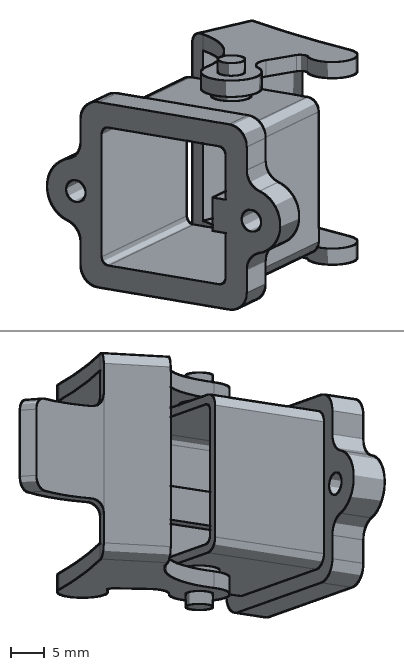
import cadquery as cq
import math

FLANGE_DEPTH = 5.45
HOUSING_DEPTH = 24.6
FLANGE_WIDTH = 28.45
FLANGE_CORNER_RADIUS = 3.0
BODY_WIDTH = 23.9
BODY_CORNER_RADIUS = 2.0
OPENING_WIDTH = 21.15
OPENING_CORNER_RADIUS = 1.15
EAR_OFFSET = 15.0
EAR_RADIUS = 4.95
EAR_BLEND_RADIUS = 3.0
SCREW_HOLE_DIAMETER = 3.3
KEY_WIDTH = 5.1
KEY_HEIGHT = 2.2

PIVOT_Y = 19.55
PIN_DIAMETER = 4.0
PIN_SPAN = 35.0
SHOULDER_DIAMETER = 6.0

LEVER_TILT = 20
LEVER_SPAN = 31.1
LEVER_THICKNESS = 2.5
LEVER_CORNER_RADIUS = 2.0
EYE_RADIUS = 4.5
WEB_OUTER_X = -20.2
WEB_BOTTOM_Y = 9.05
WEB_TOP_Y = 19.2
HOOK_X = 2.6
HOOK_Y = 17.05
HOOK_RADIUS = 3.7
NOTCH_RADIUS = 1.1
NOTCH_ANGLE = -117
NECK_RADIUS = 3.0
NECK_ANGLE = 78
TAB_WIDTH = 13.95
TAB_CORNER_RADIUS = 2.0
TAB_OUTER_RADIUS = 16.45
TAB_OUTER_ANGLE = 43
TAB_INNER_ANGLE = 45.1


def toward(start, angle, distance):
    """Point at a distance from start, at an angle in degrees."""
    a = math.radians(angle)
    return (start[0] + distance * math.cos(a), start[1] + distance * math.sin(a))


def between(start, end, distance):
    """Point on the ray from start to end, at a distance from start."""
    length = math.dist(start, end)
    return tuple(s + (e - s) * distance / length for s, e in zip(start, end))


def arc_middle(center, radius, start, end):
    """Middle of the shorter arc from start to end."""
    return between(center, ((start[0] + end[0]) / 2, (start[1] + end[1]) / 2), radius)


def prism(width, corner_radius, depth):
    """Square prism along +Y with rounded long edges, standing on the mounting face."""
    block = cq.Workplane("XZ").rect(width, width).extrude(-depth)
    return block.edges("|Y").fillet(corner_radius)


def ear(side, depth):
    """Screw ear on the -X or +X side, blended into the flange by two concave arcs."""
    center = (side * EAR_OFFSET, 0)
    blend_x = FLANGE_WIDTH / 2 + EAR_BLEND_RADIUS
    blend_z = math.sqrt((EAR_RADIUS + EAR_BLEND_RADIUS) ** 2 - (blend_x - EAR_OFFSET) ** 2)
    flange_x = side * FLANGE_WIDTH / 2
    top_blend = (side * blend_x, blend_z)
    top_start = (flange_x, blend_z)
    top_end = between(center, top_blend, EAR_RADIUS)
    top_middle = arc_middle(top_blend, EAR_BLEND_RADIUS, top_start, top_end)
    tip = (side * (EAR_OFFSET + EAR_RADIUS), 0)
    return (
        cq.Workplane("XZ")
        .moveTo(*top_start)
        .threePointArc(top_middle, top_end)
        .threePointArc(tip, (top_end[0], -top_end[1]))
        .threePointArc((top_middle[0], -top_middle[1]), (flange_x, -blend_z))
        .lineTo(0, -blend_z)
        .lineTo(0, blend_z)
        .close()
        .extrude(-depth)
    )


def flange(depth):
    plate = prism(FLANGE_WIDTH, FLANGE_CORNER_RADIUS, depth)
    for side in (-1, 1):
        plate = plate.union(ear(side, depth))
    holes = (
        cq.Workplane("XZ")
        .pushPoints([(-EAR_OFFSET, 0), (EAR_OFFSET, 0)])
        .circle(SCREW_HOLE_DIAMETER / 2)
        .extrude(-depth)
    )
    return plate.cut(holes)


def opening():
    """Through opening, less the key that stands on its +X wall."""
    key = (
        cq.Workplane("XZ")
        .center((OPENING_WIDTH - KEY_HEIGHT) / 2, 0)
        .rect(KEY_HEIGHT, KEY_WIDTH)
        .extrude(-HOUSING_DEPTH)
    )
    return prism(OPENING_WIDTH, OPENING_CORNER_RADIUS, HOUSING_DEPTH).cut(key)


def pivot(side, diameter, end_z):
    """Round stub along Z from the housing wall out to end_z."""
    wall_z = BODY_WIDTH / 2
    return (
        cq.Workplane("XY", origin=(0, PIVOT_Y, side * wall_z))
        .circle(diameter / 2)
        .extrude(side * (end_z - wall_z))
    )


def make_housing():
    body = flange(FLANGE_DEPTH).union(prism(BODY_WIDTH, BODY_CORNER_RADIUS, HOUSING_DEPTH))
    body = body.cut(opening())
    shoulder_end = LEVER_SPAN / 2 - LEVER_THICKNESS
    for side in (-1, 1):
        body = body.union(pivot(side, SHOULDER_DIAMETER, shoulder_end))
        body = body.union(pivot(side, PIN_DIAMETER, PIN_SPAN / 2))
    return body


WEB_INNER_X = WEB_OUTER_X + LEVER_THICKNESS


def side_profile():
    """Outline of web and arms: eye, neck, notch and hook joined by tangent arcs."""
    eye = (0, 0)
    hook = (HOOK_X, HOOK_Y)
    neck = toward(eye, NECK_ANGLE, EYE_RADIUS + NECK_RADIUS)
    notch = toward(hook, NOTCH_ANGLE, HOOK_RADIUS + NOTCH_RADIUS)

    under_radius = (WEB_INNER_X**2 + WEB_BOTTOM_Y**2 - EYE_RADIUS**2) / (2 * (WEB_BOTTOM_Y + EYE_RADIUS))
    under = (WEB_INNER_X, WEB_BOTTOM_Y - under_radius)
    under_start = (WEB_INNER_X, WEB_BOTTOM_Y)
    under_end = between(eye, under, EYE_RADIUS)

    run = HOOK_X - WEB_INNER_X
    drop = WEB_TOP_Y - HOOK_Y
    over_radius = (run**2 + drop**2 - HOOK_RADIUS**2) / (2 * (HOOK_RADIUS - drop))
    over = (WEB_INNER_X, WEB_TOP_Y + over_radius)
    over_end = (WEB_INNER_X, WEB_TOP_Y)
    over_start = between(hook, over, HOOK_RADIUS)

    flank_length = math.dist(neck, notch)
    flank_angle = math.degrees(math.atan2(notch[1] - neck[1], notch[0] - neck[0]))
    normal_angle = flank_angle + math.degrees(math.acos((NECK_RADIUS - NOTCH_RADIUS) / flank_length))
    flank_start = toward(neck, normal_angle, NECK_RADIUS)
    flank_end = toward(notch, normal_angle, NOTCH_RADIUS)

    neck_start = between(eye, neck, EYE_RADIUS)
    notch_end = between(hook, notch, HOOK_RADIUS)
    return (
        cq.Workplane("XY")
        .moveTo(WEB_OUTER_X, WEB_TOP_Y)
        .lineTo(WEB_OUTER_X, WEB_BOTTOM_Y)
        .lineTo(*under_start)
        .threePointArc(arc_middle(under, under_radius, under_start, under_end), under_end)
        .threePointArc((0, -EYE_RADIUS), neck_start)
        .threePointArc(arc_middle(neck, NECK_RADIUS, neck_start, flank_start), flank_start)
        .lineTo(*flank_end)
        .threePointArc(arc_middle(notch, NOTCH_RADIUS, flank_end, notch_end), notch_end)
        .threePointArc((HOOK_X + HOOK_RADIUS, HOOK_Y), over_start)
        .threePointArc(arc_middle(over, over_radius, over_start, over_end), over_end)
        .close()
    )


def bracket():
    """U-shaped web and arms."""
    solid = side_profile().extrude(LEVER_SPAN / 2, both=True)
    solid = solid.edges("|Y and <X").fillet(LEVER_CORNER_RADIUS)
    gap_length = HOOK_X + HOOK_RADIUS - WEB_INNER_X
    gap_bottom_y = -EYE_RADIUS
    gap_top_y = HOOK_Y + HOOK_RADIUS
    gap = (
        cq.Workplane("XY")
        .center(WEB_INNER_X + gap_length / 2, (gap_bottom_y + gap_top_y) / 2)
        .rect(gap_length, gap_top_y - gap_bottom_y)
        .extrude(LEVER_SPAN / 2 - LEVER_THICKNESS, both=True)
    )
    return solid.cut(gap)


def tab_sheet():
    """Curved sheet that continues the web, wide enough for the flared root of the tab."""
    center = (WEB_OUTER_X - TAB_OUTER_RADIUS, WEB_TOP_Y)
    inner_radius = TAB_OUTER_RADIUS + LEVER_THICKNESS
    return (
        cq.Workplane("XY")
        .moveTo(WEB_OUTER_X, WEB_TOP_Y)
        .threePointArc(
            toward(center, TAB_OUTER_ANGLE / 2, TAB_OUTER_RADIUS),
            toward(center, TAB_OUTER_ANGLE, TAB_OUTER_RADIUS),
        )
        .lineTo(*toward(center, TAB_INNER_ANGLE, inner_radius))
        .threePointArc(
            toward(center, TAB_INNER_ANGLE / 2, inner_radius),
            (WEB_INNER_X, WEB_TOP_Y),
        )
        .close()
        .extrude(TAB_WIDTH / 2 + TAB_CORNER_RADIUS, both=True)
    )


def beside_tab(side):
    """Space beside the tab, rounded where it leaves the flared root standing on the web."""
    edge_z = side * TAB_WIDTH / 2
    far_z = edge_z + side * TAB_CORNER_RADIUS
    root_top_y = WEB_TOP_Y + TAB_CORNER_RADIUS
    bend = TAB_CORNER_RADIUS * (1 - math.sqrt(0.5))
    beyond_tip_y = WEB_TOP_Y + TAB_OUTER_RADIUS
    return (
        cq.Workplane("YZ", origin=(WEB_INNER_X, 0, 0))
        .moveTo(WEB_TOP_Y, far_z)
        .threePointArc((WEB_TOP_Y + bend, edge_z + side * bend), (root_top_y, edge_z))
        .lineTo(beyond_tip_y, edge_z)
        .lineTo(beyond_tip_y, far_z)
        .close()
        .extrude(-TAB_OUTER_RADIUS)
    )


def tab():
    """Curved finger tab with a flared root and rounded tip corners."""
    solid = tab_sheet()
    for side in (-1, 1):
        solid = solid.cut(beside_tab(side))
    return solid.faces("<X").edges("<Z or >Z").fillet(TAB_CORNER_RADIUS)


def make_lever():
    solid = bracket().union(tab())
    eye_hole = cq.Workplane("XY").circle(PIN_DIAMETER / 2).extrude(LEVER_SPAN / 2, both=True)
    solid = solid.cut(eye_hole)
    return solid.rotate((0, 0, 0), (0, 0, 1), -LEVER_TILT).translate((0, PIVOT_Y, 0))


housing = make_housing()
lever = make_lever()
result = cq.Compound.makeCompound([housing.val(), lever.val()])